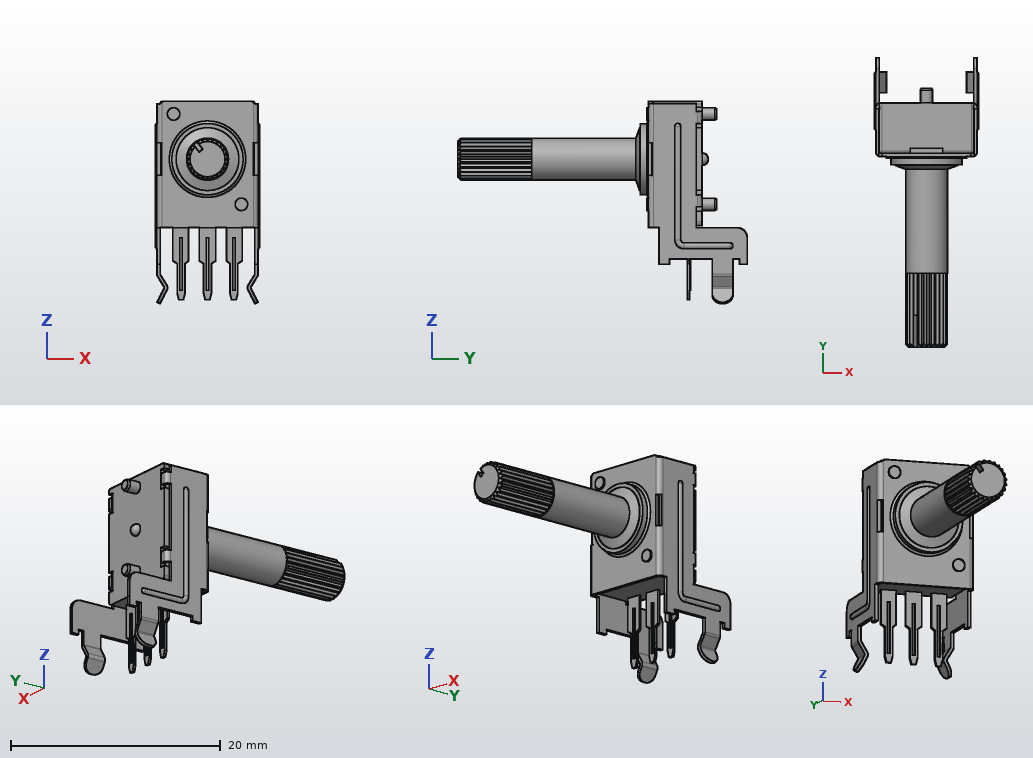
import cadquery as cq
import math


sheet = 0.33
bracket_half_width = 4.83
bend_radius = 0.47
inner_bend_radius = bend_radius - sheet
bracket_top = 5.52
bracket_bottom = -6.5
side_rear = 4.58
corner_slope_half_width = 4.2
side_top = 5.27
foot_front = 1.02
foot_rear = 9.45
foot_bottom = -10.02
foot_relief = -9.52
front_pad_rear = 2.05
rear_pad_front = 8.67
foot_corner_radius = 1.0
leg_front = 6.07
leg_rear = 8.1
leg_bend_height = -11.0
leg_knee_half_span = 3.92
leg_knee_height = -12.23
leg_tip_half_span = 4.66
leg_tip_height = -13.703
window_half_length = 1.55
window_depth = 0.35
notch_rear = 0.8
notch_depth = 0.33
rib_radius = 0.33
rib_height = 0.17
rib_y = 2.82
rib_z = -8.25
rib_top = 3.12
rib_rear = 7.78
rib_bend_radius = 0.58
peg_diameter = 1.2
peg_height = 4.3
boss_offset = 3.23
boss_projection = 0.17
lip_diameter = 7.3
lip_projection = 0.17
tab_height = 3.97
tab_width = 1.15
tab_reach = 0.83

housing_half_width = bracket_half_width - sheet
housing_rear = 5.13
housing_bottom = -6.35
housing_top_round = 0.22
bottom_round = 0.41
crimp_gap_width = 2.0
crimp_gap_depth = 0.95
pin_projection = 1.4
pin_chamfer_length = 0.22
pin_chamfer_depth = 0.1

collar_diameter = 6.8
cone_diameter = 6.0
shaft_diameter = 4.0
shaft_radius = shaft_diameter / 2
collar_front = -0.77
cone_base = -0.83
cone_front = -1.2
shaft_end = -18.15
knurl_start = -11.12
tip_chamfer = 0.33
tooth_count = 24
tooth_pitch = 360 / tooth_count
tooth_land_angle = 1.2
groove_depth = 0.235
mark_angle = 90 + 2.5 * tooth_pitch
mark_width = 0.45
mark_inner_radius = 1.02
mark_length = 3.04

terminal_pitch = 2.5
terminal_front = 3.7
terminal_thickness = 0.25
blade_half_width = 0.8
blade_inner_half_width = 0.72
blade_bottom = -9.7
stem_top = -9.95
stem_half_width = 0.4
stem_bottom = -12.78
tip_half_width = 0.22
tip_bottom = -13.4
groove_width = 0.25
groove_top = -7.5
groove_bottom = -12.5
bead_projection = 0.08

SIDES = (-1, 1)


def block(x_range, y_range, z_range):
    """Box between the given limits on each axis."""
    (x0, x1), (y0, y1), (z0, z1) = x_range, y_range, z_range
    return cq.Workplane("XY").box(x1 - x0, y1 - y0, z1 - z0, centered=False).translate((x0, y0, z0))


def rod(diameter, start, end, x=0.0, z=0.0):
    """Cylinder parallel to Y from y = start to y = end."""
    profile = cq.Workplane("XZ", origin=(0, start, 0)).center(x, z).circle(diameter / 2)
    return profile.extrude(start - end)


def revolved(points):
    """Solid of revolution about the shaft axis from (radius, y) points."""
    return cq.Workplane("XY").polyline(points).close().revolve(360, (0, 0), (0, 1))


def rounded_channel_block(half_width, front, radius):
    """Upright block with rounded front corners, long enough to span the whole bracket."""
    tall = block((-half_width, half_width), (front, foot_rear), (leg_tip_height, bracket_top))
    return tall.edges("|Z and <Y").fillet(radius)


def mirrored_pair(body):
    """The body together with its mirror image across x = 0."""
    return body.union(body.mirror("YZ"))


def bracket_channel():
    """Front plate and both side plates, cut to the side outline."""
    outer = rounded_channel_block(bracket_half_width, 0, bend_radius)
    inner = rounded_channel_block(housing_half_width, sheet, inner_bend_radius)
    outline = (
        cq.Workplane("YZ", origin=(-bracket_half_width, 0, 0))
        .moveTo(0, bracket_top)
        .lineTo(0, bracket_bottom)
        .lineTo(foot_front, bracket_bottom)
        .lineTo(foot_front, foot_bottom)
        .lineTo(front_pad_rear, foot_bottom)
        .lineTo(front_pad_rear, foot_relief)
        .lineTo(rear_pad_front, foot_relief)
        .lineTo(rear_pad_front, foot_bottom)
        .lineTo(foot_rear, foot_bottom)
        .lineTo(foot_rear, bracket_bottom - foot_corner_radius)
        .tangentArcPoint((foot_rear - foot_corner_radius, bracket_bottom), relative=False)
        .lineTo(side_rear, bracket_bottom)
        .lineTo(side_rear, bracket_top)
        .close()
        .extrude(2 * bracket_half_width)
    )
    return outer.cut(inner).intersect(outline)


def top_corner_cut():
    """Material above one side plate, with the slope that leads up to the front plate."""
    slope_foot = corner_slope_half_width + 1.5 * (bracket_top - side_top)
    return (
        cq.Workplane("XZ")
        .moveTo(corner_slope_half_width, bracket_top)
        .lineTo(slope_foot, side_top)
        .lineTo(bracket_half_width, side_top)
        .lineTo(bracket_half_width, bracket_top)
        .close()
        .extrude(-side_rear)
    )


def bend_window():
    """Opening through one front bend."""
    return block(
        (bracket_half_width - bend_radius, bracket_half_width),
        (0, window_depth),
        (-window_half_length, window_half_length),
    )


def leg():
    """Bent strip under one foot with a rounded tip."""
    half = sheet / 2
    centre_x = bracket_half_width - half
    upper_tilt = math.atan2(centre_x - leg_knee_half_span, leg_bend_height - leg_knee_height)
    lower_tilt = math.atan2(leg_tip_half_span - leg_knee_half_span, leg_knee_height - leg_tip_height)
    bend_shift = half * math.tan(upper_tilt / 2)
    knee_tilt = (upper_tilt - lower_tilt) / 2
    knee_reach = half / math.cos((upper_tilt + lower_tilt) / 2)
    knee_dx = knee_reach * math.cos(knee_tilt)
    knee_dz = knee_reach * math.sin(knee_tilt)
    tip_dx = half * math.cos(lower_tilt)
    tip_dz = half * math.sin(lower_tilt)
    outline = [
        (centre_x + half, foot_relief),
        (centre_x + half, leg_bend_height - bend_shift),
        (leg_knee_half_span + knee_dx, leg_knee_height - knee_dz),
        (leg_tip_half_span + tip_dx, leg_tip_height + tip_dz),
        (leg_tip_half_span - tip_dx, leg_tip_height - tip_dz),
        (leg_knee_half_span - knee_dx, leg_knee_height + knee_dz),
        (centre_x - half, leg_bend_height + bend_shift),
        (centre_x - half, foot_relief),
    ]
    width = leg_rear - leg_front
    strip = cq.Workplane("XZ", origin=(0, leg_front, 0)).polyline(outline).close().extrude(-width)
    strip = strip.edges("#Y").edges("<Z").fillet(0.49 * width)
    bends = ((1, bend_radius), (2, inner_bend_radius), (5, bend_radius), (6, inner_bend_radius))
    for corner, radius in bends:
        x, z = outline[corner]
        strip = strip.edges(cq.NearestToPointSelector((x, (leg_front + leg_rear) / 2, z))).fillet(radius)
    return strip


def domed_bar(length):
    """Round bar along +Z from the origin, with a hemispherical far end."""
    profile = cq.Workplane("XZ").lineTo(rib_radius, 0).lineTo(rib_radius, length)
    profile = profile.tangentArcPoint((0, length + rib_radius), relative=False).close()
    return profile.revolve(360, (0, 0), (0, 1))


def side_rib():
    """Pieces of the L-shaped rounded rib on the outside of one side plate."""
    axis_x = bracket_half_width + rib_height - rib_radius
    bend_y = rib_y + rib_bend_radius
    bend_z = rib_z + rib_bend_radius
    upright = domed_bar(rib_top - bend_z).translate((axis_x, rib_y, bend_z))
    level = domed_bar(rib_rear - bend_y).rotate((0, 0, 0), (1, 0, 0), -90)
    level = level.translate((axis_x, bend_y, rib_z))
    elbow = cq.Workplane("XY", origin=(axis_x, rib_y, bend_z)).circle(rib_radius)
    elbow = elbow.revolve(90, (0, rib_bend_radius), (1, rib_bend_radius))
    outside = block(
        (housing_half_width, bracket_half_width + rib_radius),
        (0, foot_rear),
        (foot_bottom, bracket_top),
    )
    return [piece.intersect(outside) for piece in (upright, elbow, level)]


def crimp_tab(z):
    """Tab that leaves one side plate and folds inwards behind the housing."""
    bottom = z - tab_width / 2
    top = z + tab_width / 2
    start = side_rear - sheet
    inner_x = bracket_half_width - tab_reach
    outer = block((inner_x, bracket_half_width), (start, housing_rear), (bottom, top))
    outer = outer.edges("|Z and >X and >Y").fillet(bend_radius)
    hollow = block((inner_x, housing_half_width), (start, housing_rear - sheet), (bottom, top))
    hollow = hollow.edges("|Z and >X and >Y").fillet(inner_bend_radius)
    return outer.cut(hollow)


def make_bracket():
    body = bracket_channel()
    body = body.cut(mirrored_pair(top_corner_cut())).cut(mirrored_pair(bend_window()))
    body = body.union(mirrored_pair(leg()))
    for piece in side_rib():
        body = body.union(mirrored_pair(piece))
    for z in (-tab_height, tab_height):
        body = body.union(mirrored_pair(crimp_tab(z)))
    for side in SIDES:
        body = body.union(rod(peg_diameter, sheet, -boss_projection, side * boss_offset, -side * peg_height))
    lip = revolved(
        [(0, sheet), (lip_diameter / 2, sheet), (lip_diameter / 2, 0), (collar_diameter / 2, -lip_projection),
         (0, -lip_projection)]
    )
    return body.union(lip).cut(rod(collar_diameter, sheet, collar_front))


def housing_core():
    """Main block between the side plates, with rounded front, top and lower side edges."""
    core = rounded_channel_block(housing_half_width, sheet, inner_bend_radius)
    core = core.intersect(
        block(
            (-housing_half_width, housing_half_width),
            (sheet, housing_rear),
            (housing_bottom, bracket_top),
        )
    )
    core = core.edges("|Y and <Z").fillet(bottom_round)
    core = core.faces(">Z").edges("not >Y").fillet(housing_top_round)
    return core.cut(
        block(
            (-window_half_length, window_half_length),
            (sheet, notch_rear),
            (bracket_top - notch_depth, bracket_top),
        )
    )


def crimp_gaps():
    """Pockets in the rear corners that hold the crimp tabs."""
    gap_half = crimp_gap_width / 2
    gaps = cq.Workplane("XY")
    for z in (-tab_height, tab_height):
        gap = block(
            (bracket_half_width - crimp_gap_depth, bracket_half_width),
            (side_rear, housing_rear),
            (z - gap_half, z + gap_half),
        )
        gaps = gaps.add(mirrored_pair(gap))
    return gaps.combine()


def make_housing():
    body = housing_core().cut(crimp_gaps())
    for z in (-peg_height, peg_height):
        pin = rod(peg_diameter, housing_rear, housing_rear + pin_projection, 0, z)
        body = body.union(pin.faces(">Y").chamfer(pin_chamfer_length, pin_chamfer_depth))
    dome = cq.Workplane("XY").sphere(peg_diameter / 2).translate((0, housing_rear, 0))
    return body.union(dome)


def knurl_prism():
    """Toothed bar covering the knurled length, one valley pointing straight up."""
    valley_radius = shaft_radius - groove_depth
    points = []
    for tooth in range(tooth_count):
        centre = 90 + (tooth + 0.5) * tooth_pitch
        for radius, offset in (
            (shaft_radius, -tooth_land_angle / 2),
            (shaft_radius, tooth_land_angle / 2),
            (valley_radius, tooth_pitch / 2),
        ):
            angle = math.radians(centre + offset)
            points.append((radius * math.cos(angle), radius * math.sin(angle)))
    prism = cq.Workplane("XZ", origin=(0, knurl_start, 0)).polyline(points).close()
    return prism.extrude(knurl_start - shaft_end)


def index_mark():
    """Slot along one tooth at the tip of the shaft."""
    slot = block(
        (mark_inner_radius, shaft_diameter),
        (shaft_end, shaft_end + mark_length),
        (-mark_width / 2, mark_width / 2),
    )
    return slot.rotate((0, 0, 0), (0, 1, 0), -mark_angle)


def make_shaft():
    collar_radius = collar_diameter / 2
    cone_radius = cone_diameter / 2
    plain = revolved(
        [(0, sheet), (collar_radius, sheet), (collar_radius, collar_front), (cone_radius, collar_front),
         (cone_radius, cone_base), (shaft_radius, cone_front), (shaft_radius, knurl_start), (0, knurl_start)]
    )
    tip_radius = shaft_radius - tip_chamfer
    cone_length = knurl_start - shaft_end
    tip_envelope = revolved(
        [(0, knurl_start), (tip_radius + cone_length, knurl_start), (tip_radius, shaft_end), (0, shaft_end)]
    )
    return plain.union(knurl_prism().intersect(tip_envelope)).cut(index_mark())


def make_terminal(position):
    """Flat terminal; position -1, 0 or 1 counts pitches from the middle."""
    left = blade_inner_half_width if position > 0 else blade_half_width
    right = blade_inner_half_width if position < 0 else blade_half_width
    outline = [
        (-left, housing_bottom),
        (-left, blade_bottom),
        (-stem_half_width, stem_top),
        (-stem_half_width, stem_bottom),
        (-tip_half_width, tip_bottom),
        (tip_half_width, tip_bottom),
        (stem_half_width, stem_bottom),
        (stem_half_width, stem_top),
        (right, blade_bottom),
        (right, housing_bottom),
    ]
    rear = terminal_front + terminal_thickness
    plate = cq.Workplane("XZ", origin=(0, terminal_front, 0)).polyline(outline).close()
    plate = plate.extrude(-terminal_thickness)
    across = (-groove_width / 2, groove_width / 2)
    upright = (groove_bottom, groove_top)
    bead = block(across, (rear, rear + bead_projection), upright)
    groove = block(across, (terminal_front, terminal_front + bead_projection), upright)
    return plate.union(bead).cut(groove).translate((position * terminal_pitch, 0, 0))


bracket = make_bracket()
housing = make_housing()
shaft = make_shaft()
terminals = [make_terminal(position) for position in (-1, 0, 1)]

result = cq.Compound.makeCompound(
    [bracket.val(), housing.val(), shaft.val(), *[terminal.val() for terminal in terminals]]
)